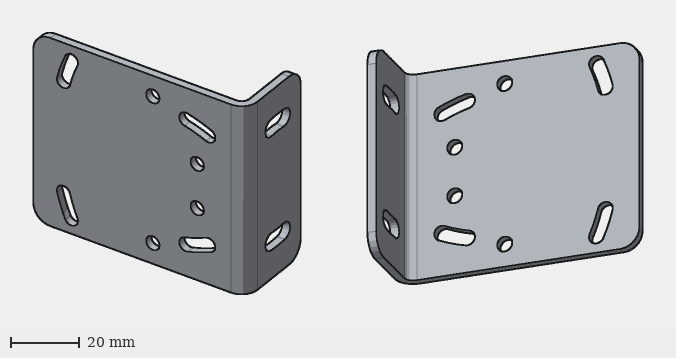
import cadquery as cq
import math

length = 75.0
depth = 28.0
height = 65.0
thickness = 2.8
inner_bend_radius = 2.8
outer_bend_radius = inner_bend_radius + thickness
corner_radius = 6.0

hole_diameter = 4.65
outer_hole = (42.0, 25.35)
inner_hole = (57.6, 7.65)

slot_width = hole_diameter
slot_swing_radius = 48.4
slot_half_sweep = 5.0
left_slot_angle = 161.1
right_slot_angle = left_slot_angle - 90

flange_slot_width = 5.85
flange_slot_y = 16.05
flange_slot_height = 19.8
flange_slot_half_sweep = 5.0


def arc_slot(workplane, center, radius, middle_angle, half_sweep, width):
    """Draw a slot following an arc about center, with round ends."""
    def at(r, angle):
        a = math.radians(angle)
        return (center[0] + r * math.cos(a), center[1] + r * math.sin(a))

    start = middle_angle - half_sweep
    end = middle_angle + half_sweep
    inner = radius - width / 2
    outer = radius + width / 2
    cap = math.degrees(2 * math.asin(width / (4 * radius)))
    return (
        workplane.moveTo(*at(outer, start))
        .threePointArc(at(outer, middle_angle), at(outer, end))
        .threePointArc(at(radius, end + cap), at(inner, end))
        .threePointArc(at(inner, middle_angle), at(inner, start))
        .threePointArc(at(radius, start - cap), at(outer, start))
        .close()
    )


def mirrored_pair(cutter):
    """Return the cutter together with its mirror image about mid height."""
    return cutter.union(cutter.mirror("XY"))


def bent_sheet():
    """L-shaped sheet with a rounded bend and rounded free corners."""
    sheet = (
        cq.Workplane("XY")
        .polyline([
            (0, 0),
            (length, 0),
            (length, depth),
            (length - thickness, depth),
            (length - thickness, thickness),
            (0, thickness),
        ])
        .close()
        .extrude(height / 2, both=True)
    )
    outer_bend = cq.selectors.NearestToPointSelector((length, 0, 0))
    sheet = sheet.edges(outer_bend).fillet(outer_bend_radius)
    inner_bend = cq.selectors.NearestToPointSelector((length - thickness, thickness, 0))
    sheet = sheet.edges(inner_bend).fillet(inner_bend_radius)
    sheet = sheet.faces("<X").edges("|Y").fillet(corner_radius)
    return sheet.faces(">Y").edges("|X").fillet(corner_radius)


def base_cutters():
    """Round holes and curved slots through the base plate."""
    plane = cq.Workplane("XZ")
    holes = plane.pushPoints([outer_hole, inner_hole]).circle(hole_diameter / 2).extrude(-thickness)
    left_slot = arc_slot(
        plane, inner_hole, slot_swing_radius, left_slot_angle, slot_half_sweep, slot_width
    ).extrude(-thickness)
    lower_outer_hole = (outer_hole[0], -outer_hole[1])
    right_slot = arc_slot(
        plane, lower_outer_hole, slot_swing_radius, right_slot_angle, slot_half_sweep, slot_width
    ).extrude(-thickness)
    return mirrored_pair(holes.union(left_slot).union(right_slot))


def flange_cutters():
    """Curved slots through the flange."""
    plane = cq.Workplane("YZ").workplane(offset=length - thickness)
    lower_slot_center = (flange_slot_y, -flange_slot_height)
    slot = arc_slot(
        plane, lower_slot_center, 2 * flange_slot_height, 90, flange_slot_half_sweep, flange_slot_width
    ).extrude(thickness)
    return mirrored_pair(slot)


result = bent_sheet().cut(base_cutters()).cut(flange_cutters())